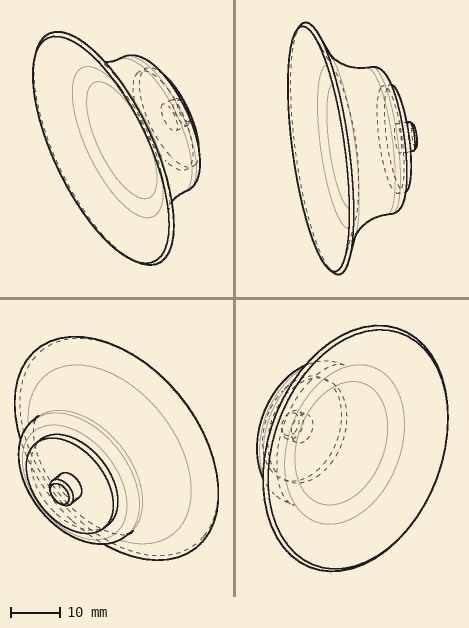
import cadquery as cq
import math

total_length = 20.0
rim_height = 0.7
cone_top = 3.15
neck_start = 12.1
shoulder_radius = 1.8
body_top = 15.0
plate_top = 16.55

rim_radius = 25.75
mouth_radius = 25.05
cone_top_radius = 20.6
body_radius = 30.0 / 2
plate_radius = 22.0 / 2
pin_radius = 6.0 / 2
pin_chamfer = 0.6

step_radius = 16.7
step_depth = 4.0
floor_radius = 12.95
floor_depth = 5.0

neck_run = cone_top_radius - body_radius
neck_drop = neck_start - cone_top
neck_radius = (neck_run**2 + neck_drop**2) / (2 * neck_run)
half_sweep = math.asin(neck_drop / neck_radius) / 2
neck_middle = (
    body_radius + neck_radius * (1 - math.cos(half_sweep)),
    neck_start - neck_radius * math.sin(half_sweep),
)

shoulder_start = body_top - shoulder_radius
shoulder_inner_radius = body_radius - shoulder_radius
shoulder_middle = (
    shoulder_inner_radius + shoulder_radius * math.cos(math.pi / 4),
    shoulder_start + shoulder_radius * math.sin(math.pi / 4),
)

half_section = (
    cq.Workplane("XY")
    .moveTo(0, floor_depth)
    .lineTo(floor_radius, floor_depth)
    .lineTo(step_radius, step_depth)
    .lineTo(mouth_radius, 0)
    .lineTo(rim_radius, rim_height)
    .lineTo(cone_top_radius, cone_top)
    .threePointArc(neck_middle, (body_radius, neck_start))
    .lineTo(body_radius, shoulder_start)
    .threePointArc(shoulder_middle, (shoulder_inner_radius, body_top))
    .lineTo(plate_radius, body_top)
    .lineTo(plate_radius, plate_top)
    .lineTo(pin_radius, plate_top)
    .lineTo(pin_radius, total_length - pin_chamfer)
    .lineTo(pin_radius - pin_chamfer, total_length)
    .lineTo(0, total_length)
    .close()
)

result = half_section.revolve(360, (0, 0, 0), (0, 1, 0))